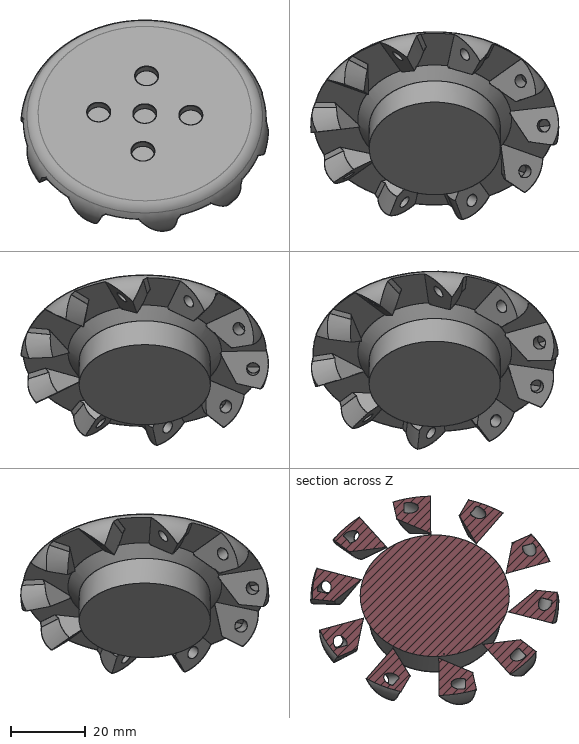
import cadquery as cq
import math

TOTAL_HEIGHT = 14.0
PLATE_THICKNESS = 3.0
HUB_DIAMETER = 35.0
HUB_HEIGHT = 8.0
HUB_CONE_ANGLE = 45.0

BULGE_RADIUS = 7.0
BULGE_CENTER_RADIUS = 26.08
BULGE_CENTER_HEIGHT = 8.1
RIM_FILLET = 3.9

TOOTH_COUNT = 10
TIP_HEIGHT = 3.7
TIP_OFFSET = 2.0
RIDGE_RISE_ANGLE = 10.0
SEAT_ANGLE = 45.0
BACK_OFFSET = 5.0
BACK_BULGE = 0.4
ROOT_CHAMFER = 0.95
TOOTH_INNER_RADIUS = 22.1
TOOTH_INNER_SKEW = 38.0

SCREW_DIAMETER = 3.4
SCREW_RADIUS = 29.0
SCREW_HEIGHT = 7.55
SCREW_DEPTH = 5.0

SOCKET_DIAMETER = 6.2
SOCKET_DEPTH = 2.1
SOCKET_CHAMFER = 0.1
SOCKET_SPACING = 17.4

plate_bottom = TOTAL_HEIGHT - PLATE_THICKNESS
hub_radius = HUB_DIAMETER / 2
max_radius = BULGE_CENTER_RADIUS + BULGE_RADIUS
tip_drop = BULGE_CENTER_HEIGHT - TIP_HEIGHT
tip_radius = BULGE_CENTER_RADIUS + math.sqrt(BULGE_RADIUS**2 - tip_drop**2)
blank_radius = max_radius + PLATE_THICKNESS
ridge_slope = math.tan(math.radians(RIDGE_RISE_ANGLE))
seat_slope = math.tan(math.radians(SEAT_ANGLE))


def ridge_height_at(radius):
    """Height of a tooth's lower ridge, which rises from the tip toward the axis."""
    return TIP_HEIGHT + (tip_radius - radius) * ridge_slope


def revolve_about_z(profile):
    """Full turn of a closed radius-height profile about the Z axis."""
    return profile.close().revolve(360, (0, 0), (0, 1))


def make_rim_body():
    """Solid of revolution with the rounded outer wall, from the tooth tips to the top face."""
    fillet_height = TOTAL_HEIGHT - RIM_FILLET
    center_rise = fillet_height - BULGE_CENTER_HEIGHT
    center_run = math.sqrt((BULGE_RADIUS - RIM_FILLET) ** 2 - center_rise**2)
    fillet_radius = BULGE_CENTER_RADIUS + center_run
    join_angle = math.atan2(center_rise, center_run)
    middle_angle = (join_angle + math.pi / 2) / 2

    def on_fillet(angle):
        return (fillet_radius + RIM_FILLET * math.cos(angle), fillet_height + RIM_FILLET * math.sin(angle))

    profile = (
        cq.Workplane("XZ")
        .moveTo(0, TIP_HEIGHT)
        .lineTo(tip_radius, TIP_HEIGHT)
        .threePointArc((max_radius, BULGE_CENTER_HEIGHT), on_fillet(join_angle))
        .threePointArc(on_fillet(middle_angle), (fillet_radius, TOTAL_HEIGHT))
        .lineTo(0, TOTAL_HEIGHT)
    )
    return revolve_about_z(profile)


def make_hub():
    """Round hub that flares into the underside of the plate."""
    flare_width = (plate_bottom - HUB_HEIGHT) / math.tan(math.radians(HUB_CONE_ANGLE))
    profile = (
        cq.Workplane("XZ")
        .lineTo(hub_radius, 0)
        .lineTo(hub_radius, HUB_HEIGHT)
        .lineTo(hub_radius + flare_width, plate_bottom)
        .lineTo(0, plate_bottom)
    )
    return revolve_about_z(profile)


def tooth_section(radius):
    """Tooth cross-section on the plane X = radius: sloping seat, bulged back and root chamfer."""
    ridge_height = ridge_height_at(radius)
    root_height = plate_bottom + PLATE_THICKNESS / 2
    seat_run = (root_height - ridge_height) / seat_slope
    back_top = plate_bottom - ROOT_CHAMFER
    back_run = BACK_OFFSET - TIP_OFFSET
    back_rise = back_top - ridge_height
    chord = math.hypot(back_run, back_rise)
    back_middle = (
        TIP_OFFSET + back_run / 2 + BACK_BULGE * back_rise / chord,
        ridge_height + back_rise / 2 - BACK_BULGE * back_run / chord,
    )
    return (
        cq.Workplane("YZ", origin=(radius, 0, 0))
        .moveTo(TIP_OFFSET, ridge_height)
        .threePointArc(back_middle, (BACK_OFFSET, back_top))
        .lineTo(BACK_OFFSET + root_height - back_top, root_height)
        .lineTo(TIP_OFFSET - seat_run, root_height)
        .close()
        .val()
    )


def make_screw_hole():
    """Blind hole square to the seat, started outside the tooth so it opens cleanly."""
    seat_offset = TIP_OFFSET - (SCREW_HEIGHT - ridge_height_at(SCREW_RADIUS)) / seat_slope
    mouth = cq.Vector(SCREW_RADIUS, seat_offset, SCREW_HEIGHT)
    inward = cq.Vector(ridge_slope, seat_slope, 1).normalized()
    lead = SCREW_DIAMETER
    return cq.Solid.makeCylinder(SCREW_DIAMETER / 2, SCREW_DEPTH + lead, mouth - inward * lead, inward)


def make_tooth():
    """Tooth on the +X side: seat facing -Y, back facing +Y, outer end left overlong."""
    ruled = True
    bar = cq.Solid.makeLoft([tooth_section(hub_radius), tooth_section(blank_radius)], ruled)
    keep_size = 4 * max_radius
    keep_block = (
        cq.Workplane("XY")
        .box(keep_size, keep_size, keep_size, centered=(False, True, True))
        .rotate((0, 0, 0), (0, 1, 0), -RIDGE_RISE_ANGLE)
        .rotate((0, 0, 0), (0, 0, 1), -TOOTH_INNER_SKEW)
        .translate((TOOTH_INNER_RADIUS, 0, plate_bottom))
    )
    return cq.Workplane(bar).intersect(keep_block).cut(cq.Workplane(make_screw_hole()))


def make_toothed_plate():
    """Plate blank with the ring of teeth, trimmed to the rounded rim."""
    plate = cq.Workplane("XY", origin=(0, 0, plate_bottom)).circle(blank_radius).extrude(PLATE_THICKNESS)
    tooth = make_tooth()
    for index in range(TOOTH_COUNT):
        plate = plate.union(tooth.rotate((0, 0, 0), (0, 0, 1), index * 360 / TOOTH_COUNT))
    return plate.intersect(make_rim_body())


def make_sockets():
    """Cutters for the chamfered blind sockets in the top face."""
    half = SOCKET_SPACING / 2
    centers = [(0, 0), (half, half), (-half, half), (half, -half), (-half, -half)]
    radius = SOCKET_DIAMETER / 2
    floor = TOTAL_HEIGHT - SOCKET_DEPTH
    profile = (
        cq.Workplane("XZ")
        .moveTo(0, floor)
        .lineTo(radius, floor)
        .lineTo(radius, TOTAL_HEIGHT - SOCKET_CHAMFER)
        .lineTo(radius + SOCKET_CHAMFER, TOTAL_HEIGHT)
        .lineTo(0, TOTAL_HEIGHT)
    )
    socket = revolve_about_z(profile).val()
    return cq.Workplane("XY").pushPoints(centers).eachpoint(lambda place: socket.moved(place))


result = make_toothed_plate().union(make_hub()).cut(make_sockets())